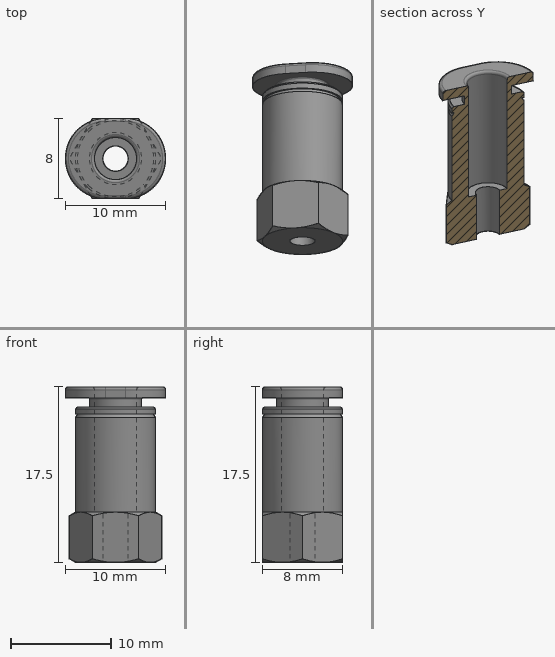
import cadquery as cq
import math

hex_across_flats = 8.0
hex_height = 5.0
hex_chamfer_angle = 30.0
hex_across_corners = hex_across_flats / math.cos(math.radians(30))

body_radius = hex_across_flats / 2
body_top = 15.5
body_chamfer = 0.2
groove_bottom = 14.43
groove_top = 14.77
groove_depth = 0.2

overall_height = 17.5
flange_length = 10.0
flange_width = 8.0
flange_thickness = 1.1
flange_fillet = 0.3
flange_bottom = overall_height - flange_thickness
neck_radius = 2.6
neck_fillet = 0.1

tube_bore_diameter = 4.2
tube_bore_floor = hex_height
tube_entry_fillet = 0.3
through_hole_diameter = 2.5


def make_hex_base():
    """Hexagonal prism with corners on the X axis, trimmed by a cone at each end."""
    corner_radius = hex_across_corners / 2
    chamfer_height = (corner_radius - body_radius) * math.tan(math.radians(hex_chamfer_angle))
    prism = cq.Workplane("XY").polygon(6, hex_across_corners).extrude(hex_height)
    envelope = (
        cq.Workplane("XZ")
        .lineTo(body_radius, 0)
        .lineTo(corner_radius, chamfer_height)
        .lineTo(corner_radius, hex_height - chamfer_height)
        .lineTo(body_radius, hex_height)
        .lineTo(0, hex_height)
        .close()
        .revolve(360, (0, 0, 0), (0, 1, 0))
    )
    return prism.intersect(envelope)


def make_body_and_neck():
    """Turned profile from the top of the hexagon to the underside of the flange."""
    return (
        cq.Workplane("XZ")
        .moveTo(0, hex_height)
        .lineTo(body_radius, hex_height)
        .lineTo(body_radius, groove_bottom)
        .lineTo(body_radius - groove_depth, groove_top)
        .lineTo(body_radius, groove_top)
        .lineTo(body_radius, body_top - body_chamfer)
        .lineTo(body_radius - body_chamfer, body_top)
        .lineTo(neck_radius, body_top)
        .lineTo(neck_radius, flange_bottom - neck_fillet)
        .radiusArc((neck_radius + neck_fillet, flange_bottom), neck_fillet)
        .lineTo(0, flange_bottom)
        .close()
        .revolve(360, (0, 0, 0), (0, 1, 0))
    )


def make_flange():
    """Oblong flange with a rounded upper rim."""
    return (
        cq.Workplane("XY", origin=(0, 0, flange_bottom))
        .slot2D(flange_length, flange_width)
        .extrude(flange_thickness)
        .faces(">Z")
        .edges()
        .fillet(flange_fillet)
    )


def make_bore():
    """Tube socket with a rounded mouth, above a smaller hole through the base."""
    socket_radius = tube_bore_diameter / 2
    hole_radius = through_hole_diameter / 2
    mouth_radius = socket_radius + tube_entry_fillet
    return (
        cq.Workplane("XZ")
        .lineTo(hole_radius, 0)
        .lineTo(hole_radius, tube_bore_floor)
        .lineTo(socket_radius, tube_bore_floor)
        .lineTo(socket_radius, overall_height - tube_entry_fillet)
        .radiusArc((mouth_radius, overall_height), tube_entry_fillet)
        .lineTo(0, overall_height)
        .close()
        .revolve(360, (0, 0, 0), (0, 1, 0))
    )


outer_shape = make_hex_base().union(make_body_and_neck()).union(make_flange())
result = outer_shape.cut(make_bore())